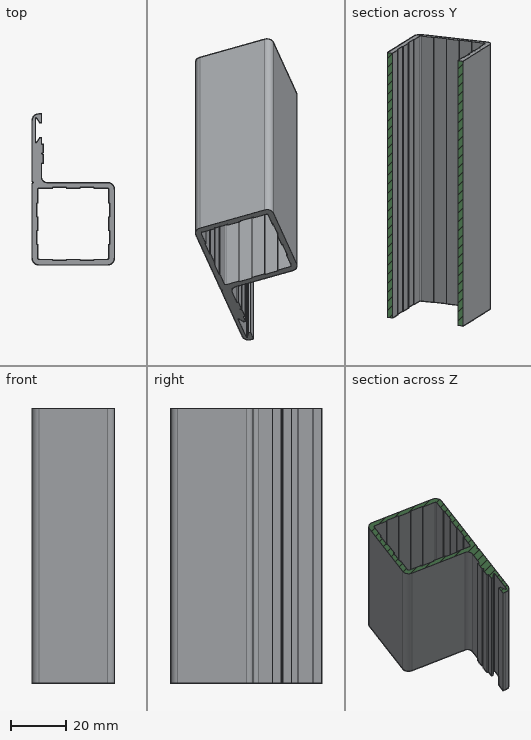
import cadquery as cq

length = 100.0
tube_side = 30.0
corner_radius = 2.5
wall = 2.1
bore_corner_radius = 0.5

relief_depth = 0.3
relief_inner_offset = 2.5
relief_outer_offset = 7.5

flange_top = 55.0
flange_thickness = 3.5
root_radius = 2.0

slot_floor = 1.3
slot_floor_flat = 0.3
slot_center = 49.0
slot_mouth_half = 2.7
slot_floor_half = 4.5
lip_width = 0.7

pad_height = 0.6
pad_bottom = 37.0
pad_top = 44.0
pad_groove_center = 40.5
pad_groove_width = 0.8

marking_width = 0.8
marking_depth = 0.4


def make_box(x_start, x_end, y_start, y_end):
    """Full-length rectangular bar between the given limits."""
    return (
        cq.Workplane("XY")
        .box(x_end - x_start, y_end - y_start, length, centered=False)
        .translate((x_start, y_start, 0))
    )


def make_prism(points):
    """Full-length prism with a polygonal section."""
    return cq.Workplane("XY").polyline(points).close().extrude(length)


def make_tube_body():
    return make_box(0, tube_side, 0, tube_side).edges("|Z").edges(">X or <Y").fillet(corner_radius)


def make_flange():
    flange = make_box(0, flange_thickness, tube_side / 2, flange_top)
    return flange.edges("|Z and <X and >Y").fillet(corner_radius)


def round_root(body):
    """Fillet the inside corner between the flange and the tube."""
    corner = cq.selectors.NearestToPointSelector((flange_thickness, tube_side, length / 2))
    return body.edges("|Z").edges(corner).fillet(root_radius)


def make_bore():
    """Square bore widened by the relief channels."""
    far_wall = tube_side - wall
    bore = make_box(wall, far_wall, wall, far_wall).edges("|Z").fillet(bore_corner_radius)
    middle = tube_side / 2
    relief_near = wall - relief_depth
    relief_far = tube_side - relief_near
    relief_width = relief_outer_offset - relief_inner_offset
    for start in (middle - relief_outer_offset, middle + relief_inner_offset):
        end = start + relief_width
        bore = bore.union(make_box(start, end, relief_near, relief_far))
        bore = bore.union(make_box(relief_near, relief_far, start, end))
    return bore


def make_clip_slot():
    """Slot whose sloping sides widen towards its floor."""
    lip_start = flange_thickness - lip_width
    slope_start = slot_floor + slot_floor_flat
    upper_side = [
        (slot_floor, slot_floor_half),
        (slope_start, slot_floor_half),
        (lip_start, slot_mouth_half),
        (flange_thickness, slot_mouth_half),
    ]
    upper = [(x, slot_center + offset) for x, offset in upper_side]
    lower = [(x, slot_center - offset) for x, offset in reversed(upper_side)]
    return make_prism(upper + lower)


def make_pad():
    pad_face = flange_thickness + pad_height
    half_groove = pad_groove_width / 2
    return make_prism([
        (0, pad_bottom),
        (pad_face, pad_bottom),
        (pad_face, pad_groove_center - half_groove),
        (flange_thickness, pad_groove_center),
        (pad_face, pad_groove_center + half_groove),
        (pad_face, pad_top),
        (0, pad_top),
    ])


def make_marking_groove():
    return make_prism([
        (0, tube_side - marking_width / 2),
        (marking_depth, tube_side),
        (0, tube_side + marking_width / 2),
    ])


body = round_root(make_tube_body().union(make_flange()))
body = body.union(make_pad())
result = body.cut(make_bore()).cut(make_clip_slot()).cut(make_marking_groove())